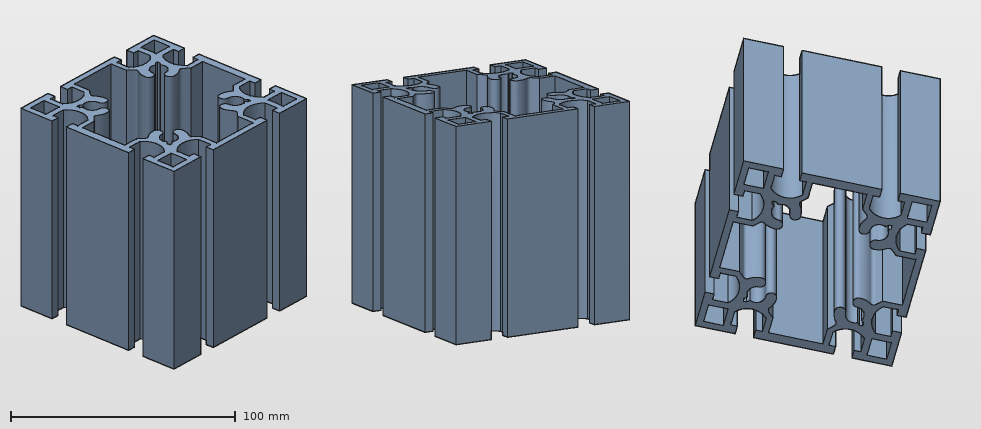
import cadquery as cq
import math

width = 90.0
length = 100.0
half = width / 2

slot_offset = 22.5
slot_mouth = 8.4
slot_width = 14.5
lip_thickness = 4.2
slot_side_depth = 11.2
slot_floor_depth = 14.5

tube_wall = 3.1
tube_hole = 9.0
tube_offset = half - tube_wall - tube_hole / 2

slot_wall = 2.8
plate_x = 3.2
plate_y = 4.2
arm_width = 2 * (slot_offset - slot_width / 2 - slot_wall)
core_reach = 45.2

bore_radius = 4.2
finger_width = 5.0
ring_radius = bore_radius + finger_width
tip_offset = bore_radius + finger_width / 2
root_fillet = 1.8
notch_width = 2.1
notch_reach = 6.8

corner_signs = [(sx, sy) for sx in (1, -1) for sy in (1, -1)]


def bar(size_x, size_y, x=0.0, y=0.0):
    """Full-length rectangular bar centred at (x, y)."""
    return cq.Workplane("XY").center(x, y).rect(size_x, size_y).extrude(length)


def rod(radius, x=0.0, y=0.0):
    """Full-length round bar centred at (x, y)."""
    return cq.Workplane("XY").center(x, y).circle(radius).extrude(length)


def cavity():
    """Cross of two rectangular arms joined with a diamond core, kept inside the outer plates."""
    arms = bar(width - 2 * plate_x, arm_width).union(bar(arm_width, width - 2 * plate_y))
    core_side = core_reach * math.sqrt(2)
    core = bar(core_side, core_side).rotate((0, 0, 0), (0, 0, 1), 45)
    envelope = bar(width - 2 * plate_x, width - 2 * plate_y)
    return arms.union(core.intersect(envelope))


def open_ring():
    """Three-quarter ring of the +X +Y corner, open towards the profile axis."""
    c = slot_offset
    opening = bar(ring_radius, ring_radius, c - ring_radius / 2, c - ring_radius / 2)
    ring = rod(ring_radius, c, c).cut(opening)
    for x, y in ((c - tip_offset, c), (c, c - tip_offset)):
        ring = ring.union(rod(finger_width / 2, x, y))
    return ring


def bore():
    """Screw bore of the +X +Y corner with a pointed notch towards the corner."""
    c = slot_offset
    shoulder = notch_reach - notch_width / 2
    notch = (
        cq.Workplane("XY")
        .moveTo(0, -notch_width / 2)
        .lineTo(shoulder, -notch_width / 2)
        .lineTo(notch_reach, 0)
        .lineTo(shoulder, notch_width / 2)
        .lineTo(0, notch_width / 2)
        .close()
        .extrude(length)
        .rotate((0, 0, 0), (0, 0, 1), 45)
        .translate((c, c, 0))
    )
    return rod(bore_radius, c, c).union(notch)


def slot():
    """Undercut slot opening on the +Y face at x = slot_offset."""
    mouth = bar(slot_mouth, lip_thickness, slot_offset, half - lip_thickness / 2)
    pocket = (
        cq.Workplane("XY")
        .moveTo(slot_offset - slot_width / 2, half - lip_thickness)
        .lineTo(slot_offset - slot_width / 2, half - slot_side_depth)
        .threePointArc(
            (slot_offset, half - slot_floor_depth),
            (slot_offset + slot_width / 2, half - slot_side_depth),
        )
        .lineTo(slot_offset + slot_width / 2, half - lip_thickness)
        .close()
        .extrude(length)
    )
    return mouth.union(pocket)


def at_corners(shape):
    """Copies of a +X +Y corner shape mirrored into all four corners."""
    mirrored = shape.union(shape.mirror("YZ"))
    return mirrored.union(mirrored.mirror("XZ"))


profile = bar(width, width).cut(cavity()).union(at_corners(open_ring()))

diagonal_gap = (2 * slot_offset - core_reach) / 2
root_step = math.sqrt(ring_radius**2 / 2 - diagonal_gap**2)
near = slot_offset - diagonal_gap - root_step
far = slot_offset - diagonal_gap + root_step
for sx, sy in corner_signs:
    for x, y in ((near, far), (far, near)):
        root = cq.selectors.NearestToPointSelector((sx * x, sy * y, length / 2))
        profile = profile.edges("|Z").edges(root).fillet(root_fillet)

profile = profile.cut(at_corners(bore()))
for sx, sy in corner_signs:
    profile = profile.cut(bar(tube_hole, tube_hole, sx * tube_offset, sy * tube_offset))

slot_pair = slot().union(slot().mirror("YZ"))
for angle in (0, 90, 180, 270):
    profile = profile.cut(slot_pair.rotate((0, 0, 0), (0, 0, 1), angle))

result = profile